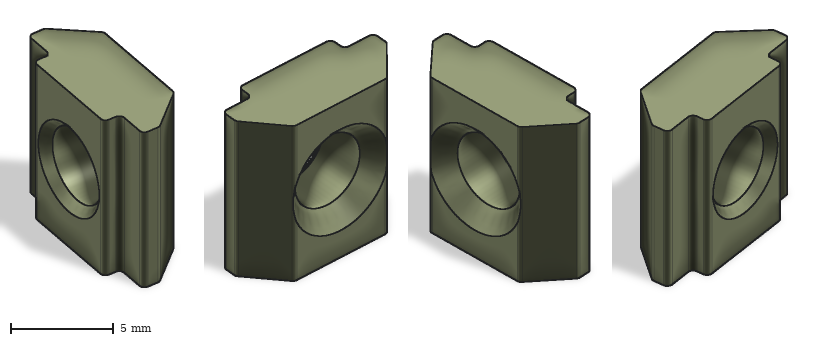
import cadquery as cq

width = 9.8
depth = 4.2
height = 9.5

neck_width = 6.0
neck_depth = 1.0
flange_depth = 1.0
back_width = 6.0
edge_radius = 0.3

bore_diameter = 4.2
front_sink_diameter = 5.2
back_sink_diameter = 6.2

front_y = -depth / 2
back_y = depth / 2
shoulder_y = front_y + neck_depth
slope_start_y = shoulder_y + flange_depth


def make_body():
    """T-slot profile extruded along Z, with all lengthwise edges rounded."""
    right_side = [
        (neck_width / 2, front_y),
        (neck_width / 2, shoulder_y),
        (width / 2, shoulder_y),
        (width / 2, slope_start_y),
        (back_width / 2, back_y),
    ]
    left_side = [(-x, y) for x, y in reversed(right_side)]
    return (
        cq.Workplane("XY")
        .polyline(right_side + left_side)
        .close()
        .extrude(height / 2, both=True)
        .edges("|Z")
        .fillet(edge_radius)
    )


def make_bore():
    """Round cutter through the part along Y, flaring at 45 degrees to each face."""
    bore_radius = bore_diameter / 2
    front_radius = front_sink_diameter / 2
    back_radius = back_sink_diameter / 2
    half_section = [
        (0, front_y),
        (front_radius, front_y),
        (bore_radius, front_y + front_radius - bore_radius),
        (bore_radius, back_y - (back_radius - bore_radius)),
        (back_radius, back_y),
        (0, back_y),
    ]
    return cq.Workplane("XY").polyline(half_section).close().revolve(360, (0, 0, 0), (0, 1, 0))


result = make_body().cut(make_bore())